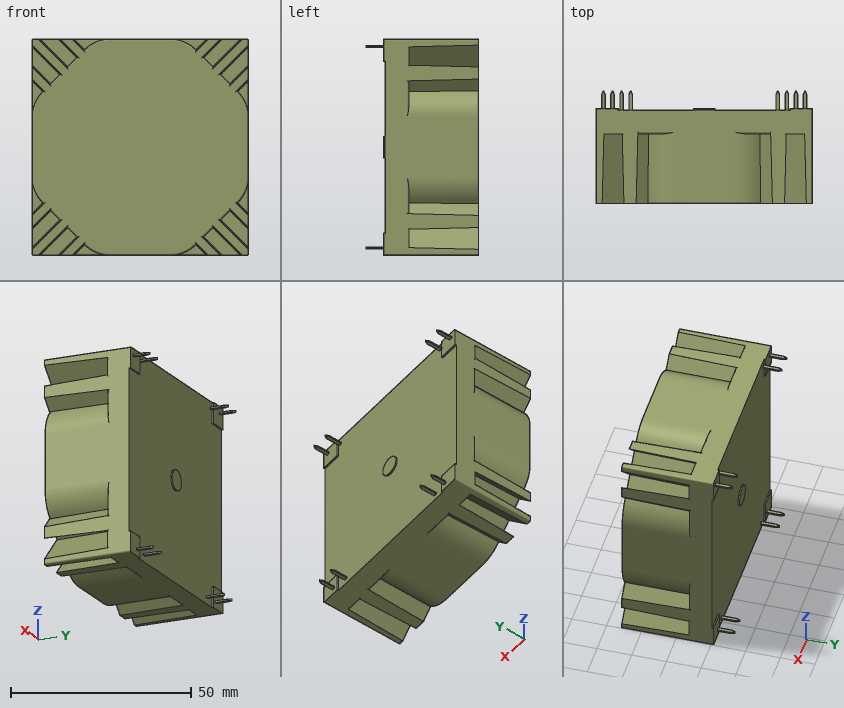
import cadquery as cq
import math

side = 60.0
half_side = side / 2
corner_count = 4
quarter_turn = 360 / corner_count
corner_angle = quarter_turn / 2
depth = 26.4
corner_radius = 0.5
foot_size = 6.2
foot_height = 0.4
pad_diameter = 6.0

core_sides = 8
core_radius = 10.0
edge_radius = 0.5
recess_depth = 19.4

rib_root = 3.05
rib_pitch = 6.65
rib_draft = 1.0
ribs_per_corner = 3

pin_pitch = 2.5
pin_row_offset = 27.95
pin_width = 1.0
pin_thickness = 0.5
pin_reach = 4.9
pin_tip_length = 1.0
pin_tip_width = 0.1
pins_per_group = 4

floor_y = recess_depth - depth
recessed_back_y = -foot_height


def along_y(y):
    """Sketch plane at height y, facing -Y, with local x along +X and local y along +Z."""
    return cq.Workplane("XZ", origin=(0, y, 0))


def back_plate():
    """Full square plate behind the recesses, with its feet and centre pad."""
    plate = along_y(recessed_back_y).rect(side, side).extrude(recessed_back_y - floor_y)
    foot_centre = half_side - foot_size / 2
    feet = (
        along_y(0)
        .rect(2 * foot_centre, 2 * foot_centre, forConstruction=True)
        .vertices()
        .rect(foot_size, foot_size)
        .extrude(foot_height)
    )
    pad = along_y(0).circle(pad_diameter / 2).extrude(foot_height)
    return plate.union(feet).union(pad)


def floor_rounding():
    """Waste to cut away so the outer edge of one side's recess floor is rounded."""
    rib_face = (rib_pitch + rib_root / 2) * math.sqrt(2)
    rounded_length = side - 2 * rib_face
    return (
        cq.Workplane("YZ")
        .moveTo(floor_y, half_side - edge_radius)
        .radiusArc((floor_y + edge_radius, half_side), edge_radius)
        .lineTo(floor_y, half_side)
        .close()
        .extrude(rounded_length / 2, both=True)
    )


def core():
    """Regular octagon with rounded corners and a rounded front edge."""
    half_sector = 180 / core_sides
    across_corners = side / math.cos(math.radians(half_sector))
    return (
        along_y(recessed_back_y)
        .transformed(rotate=(0, 0, half_sector))
        .polygon(core_sides, across_corners)
        .extrude(depth - foot_height)
        .edges("|Y")
        .fillet(core_radius)
        .faces("<Y")
        .fillet(edge_radius)
    )


def rib(offset):
    """Rib along +X, centred at Z = offset, thinning from its root to the front."""
    root = rib_root / 2
    tip = root - recess_depth * math.tan(math.radians(rib_draft))
    diagonal = half_side * math.sqrt(2)
    inner_end = half_side - edge_radius
    return (
        cq.Workplane("YZ", origin=(inner_end, 0, offset))
        .moveTo(floor_y, -root)
        .lineTo(floor_y, root)
        .lineTo(-depth, tip)
        .lineTo(-depth, -tip)
        .close()
        .extrude(diagonal - inner_end)
    )


def turned(body, angle):
    """Copy of a body turned about the Y axis."""
    return body.rotate((0, 0, 0), (0, 1, 0), angle)


def make_housing():
    """Back plate, core and corner ribs as one solid, with rounded outer corners."""
    body = back_plate()
    for quarter in range(corner_count):
        body = body.cut(turned(floor_rounding(), quarter_turn * quarter))
    body = body.union(core())
    for quarter in range(corner_count):
        for index in range(ribs_per_corner):
            offset = (index - (ribs_per_corner - 1) / 2) * rib_pitch
            body = body.union(turned(rib(offset), corner_angle + quarter_turn * quarter))
    envelope = along_y(0).rect(side, side).extrude(depth).edges("|Y").fillet(corner_radius)
    return body.intersect(envelope)


def make_pin(x, z):
    """One pin standing on the back of the housing at (x, z)."""
    on_foot = abs(x) > half_side - foot_size
    base_y = 0 if on_foot else recessed_back_y
    shoulder_y = pin_reach - pin_tip_length
    return (
        cq.Workplane("XY", origin=(x, 0, z))
        .moveTo(-pin_width / 2, base_y)
        .lineTo(pin_width / 2, base_y)
        .lineTo(pin_width / 2, shoulder_y)
        .lineTo(pin_tip_width / 2, pin_reach)
        .lineTo(-pin_tip_width / 2, pin_reach)
        .lineTo(-pin_width / 2, shoulder_y)
        .close()
        .extrude(pin_thickness / 2, both=True)
    )


def make_pins():
    """Two mirrored groups of pins, alternating between the top and bottom rows."""
    pins = []
    for mirror in (-1, 1):
        for index in range(pins_per_group):
            x = mirror * (pin_row_offset - index * pin_pitch)
            row = 1 if index % 2 == 0 else -1
            pins.append(make_pin(x, row * pin_row_offset))
    return pins


housing = make_housing()
pins = make_pins()
result = cq.Compound.makeCompound([housing.val(), *[pin.val() for pin in pins]])